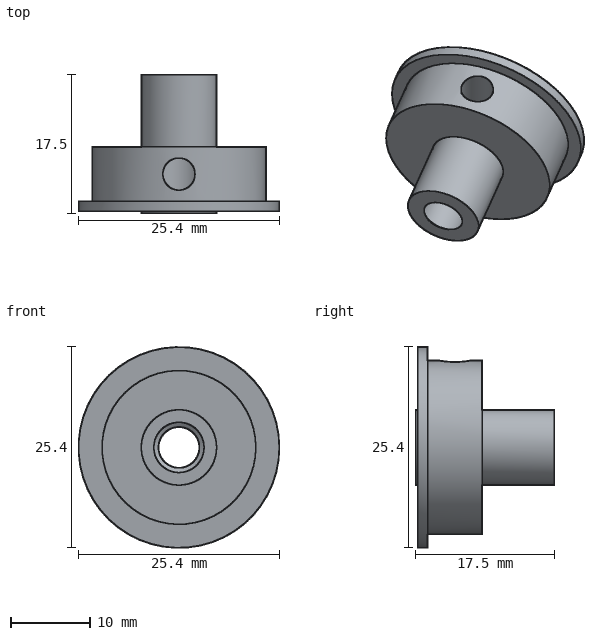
import cadquery as cq
import math

hub_projection = 0.254
flange_thickness = 1.27
body_length = 6.858
tube_length = 9.144
recess_depth = 1.42

flange_diameter = 25.4
body_diameter = 22.0
recess_diameter = 19.43
tube_diameter = 9.525
bore_diameter = 6.35
bore_exit_diameter = 5.13
set_screw_diameter = 4.06
bore_tip_angle = 120

front_y = -hub_projection
body_start_y = flange_thickness
body_end_y = body_start_y + body_length
back_y = body_end_y + tube_length
bore_tip_length = (bore_diameter - bore_exit_diameter) / 2 / math.tan(math.radians(bore_tip_angle / 2))
taper_start_y = back_y - bore_tip_length
set_screw_y = (body_start_y + body_end_y) / 2


def cylinder(diameter, start_y, end_y):
    """Cylinder on the Y axis between two stations."""
    length = end_y - start_y
    return cq.Workplane("XZ", origin=(0, start_y, 0)).circle(diameter / 2).extrude(-length)


def make_wheel():
    """Flanged body with a front recess and a central tube running end to end."""
    flange = cylinder(flange_diameter, 0, body_start_y)
    body = cylinder(body_diameter, body_start_y, body_end_y)
    recess = cylinder(recess_diameter, 0, recess_depth)
    tube = cylinder(tube_diameter, front_y, back_y)
    return flange.union(body).cut(recess).union(tube)


def make_bore():
    """Straight bore from the front whose drill-point cone breaks through the back face."""
    outline = [
        (0, front_y),
        (bore_diameter / 2, front_y),
        (bore_diameter / 2, taper_start_y),
        (bore_exit_diameter / 2, back_y),
        (0, back_y),
    ]
    return cq.Workplane("XY").polyline(outline).close().revolve(360, (0, 0, 0), (0, 1, 0))


def make_set_screw_hole():
    """Radial hole from the top of the body into the bore."""
    plane = cq.Workplane("XY", origin=(0, set_screw_y, 0))
    return plane.circle(set_screw_diameter / 2).extrude(body_diameter)


result = make_wheel().cut(make_bore()).cut(make_set_screw_hole())